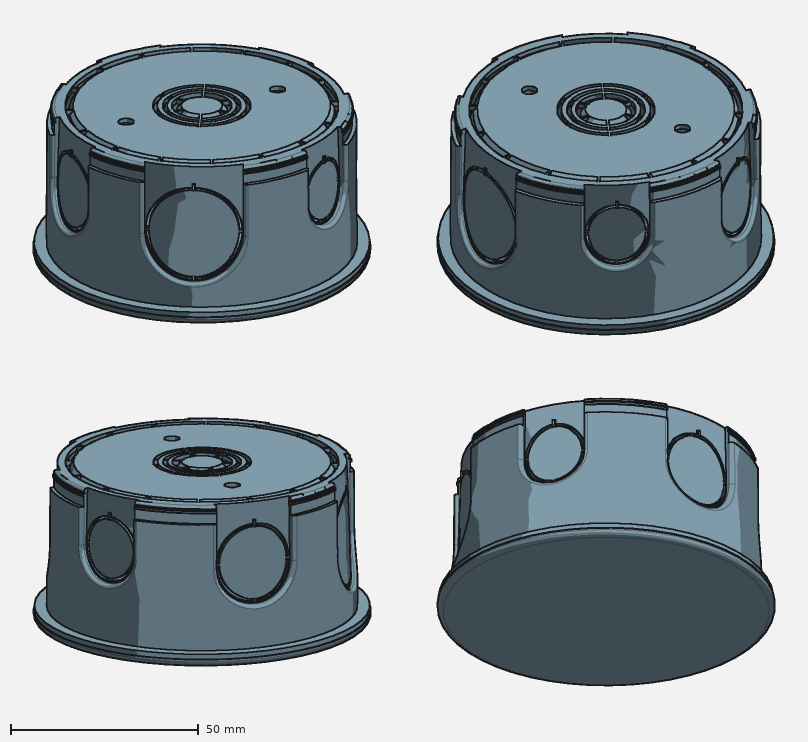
import cadquery as cq
import math

total_height = 43.5
lid_thickness = 2.1
flange_top = 3.5
wall_top = 38.5

lid_radius = 45.0
lid_edge_round = 1.5
flange_radius = 44.7
wall_bottom_radius = 41.5
wall_top_radius = 41.3
rim_radius = 40.1
rim_groove_radius = 39.8
rim_bead_radius = 40.4
rim_edge_round = 0.8
panel_top_radius = 38.6
panel_bottom_radius = 40.05

bead_bottom = 41.4
bead_top = 42.0
groove_top = 42.5

panel_thickness = 1.2
roof_thickness = 1.35

windows = [
    (13.3, (150, 330)),
    (10.8, (90, 270)),
    (8.9, (30, 210)),
]
knockout_top = 37.4
knockout_narrowing = 0.45
knockout_gap = 0.8
recess_inset = 0.2
recess_drop = 0.5
recess_edge_round = 1.0
recess_floor = 36.0
cut_length = 9.0
bridge_width = 0.7
rib_height = 0.6

outer_slot = (34.3, 36.45)
outer_slot_draft = 1.1
outer_slot_bridges = 16
center_slots = [(5.5, 8.0), (9.3, 10.4), (11.9, 13.05)]
center_disc_draft = 1.3
center_slot_bridges = 6
screw_hole_radius = 2.1
screw_hole_offset = 22.6


def disc(radius, bottom, height):
    return cq.Workplane("XY").workplane(offset=bottom).circle(radius).extrude(height)


def cone(bottom_radius, top_radius, bottom, top):
    profile = [(0, bottom), (bottom_radius, bottom), (top_radius, top), (0, top)]
    return cq.Workplane("XZ").polyline(profile).close().revolve(360, (0, 0), (0, 1))


def window_plane(angle, height):
    """Plane across a window, facing outward: local x runs around the wall, local y is up."""
    turn = math.radians(angle)
    outward = (math.cos(turn), math.sin(turn), 0)
    across = (-math.sin(turn), math.cos(turn), 0)
    origin = (recess_floor * outward[0], recess_floor * outward[1], height)
    return cq.Workplane(cq.Plane(origin=origin, xDir=across, normal=outward))


def recess_cutter(radius, angle):
    """U-shaped prism, open at the top, that exposes one window panel."""
    half_width = radius - recess_inset
    arc_height = knockout_top - radius - recess_drop
    rise = total_height + 0.9 - arc_height
    return (
        window_plane(angle, arc_height)
        .moveTo(-half_width, rise)
        .lineTo(-half_width, 0)
        .threePointArc((0, -half_width), (half_width, 0))
        .lineTo(half_width, rise)
        .close()
        .extrude(cut_length)
    )


def knockout_cutter(radius, angle):
    """Thin oval ring through a panel, interrupted by four bridges."""
    half_width = radius - knockout_narrowing
    plane = window_plane(angle, knockout_top - radius).workplane(offset=-cut_length / 2)
    ring = (
        plane.ellipse(half_width, radius)
        .ellipse(half_width - knockout_gap, radius - knockout_gap)
        .extrude(1.5 * cut_length)
    )
    upright = plane.rect(bridge_width, 3 * radius).extrude(1.5 * cut_length)
    level = plane.rect(3 * radius, bridge_width).extrude(1.5 * cut_length)
    return ring.cut(upright).cut(level)


def knockout_rib(angle):
    """Small raised block over the top bridge of a knockout."""
    bottom = knockout_top - knockout_gap
    outer_face = panel_top_radius + rib_height
    inner_face = panel_top_radius - panel_thickness / 2
    return (
        window_plane(angle, (bottom + wall_top) / 2)
        .workplane(offset=inner_face - recess_floor)
        .rect(bridge_width, wall_top - bottom)
        .extrude(outer_face - inner_face)
    )


def slotted_ring(inner_radius, outer_radius, draft, bridges, first_angle):
    """Ring cut through the roof whose inner wall widens downward, left whole at the bridges."""
    bottom = total_height - roof_thickness
    ring = disc(outer_radius, bottom, roof_thickness)
    ring = ring.cut(cone(inner_radius + draft, inner_radius, bottom, total_height))
    for index in range(bridges):
        bridge = (
            cq.Workplane("XY")
            .workplane(offset=bottom)
            .center(outer_radius / 2, 0)
            .rect(outer_radius + 0.9, bridge_width)
            .extrude(roof_thickness)
            .rotate((0, 0, 0), (0, 0, 1), first_angle + index * 360 / bridges)
        )
        ring = ring.cut(bridge)
    return ring


def make_outer_wall():
    """Tapered wall with the window recesses, their outer edges rounded."""
    wall = cone(wall_bottom_radius, wall_top_radius, lid_thickness, wall_top)
    for radius, angles in windows:
        for angle in angles:
            wall = wall.cut(recess_cutter(radius, angle))

    def on_outer_edge(edge):
        middle = edge.positionAt(0.5)
        away_from_ends = lid_thickness + 0.9 < middle.z < wall_top - 0.1
        return away_from_ends and math.hypot(middle.x, middle.y) > rim_radius

    recess_edges = [edge for edge in wall.edges().vals() if on_outer_edge(edge)]
    return wall.newObject(recess_edges).fillet(recess_edge_round)


def make_rim():
    """Narrower rim above the wall, with a bead and a groove, open at the windows."""
    rim = (
        cq.Workplane("XZ")
        .moveTo(0, wall_top)
        .lineTo(rim_radius, wall_top)
        .lineTo(rim_radius, bead_bottom)
        .lineTo(rim_bead_radius, bead_bottom)
        .lineTo(rim_bead_radius, bead_top)
        .lineTo(rim_groove_radius, bead_top)
        .lineTo(rim_groove_radius, groove_top)
        .lineTo(rim_radius, groove_top)
        .lineTo(rim_radius, total_height - rim_edge_round)
        .radiusArc((rim_radius - rim_edge_round, total_height), -rim_edge_round)
        .lineTo(0, total_height)
        .close()
        .revolve(360, (0, 0), (0, 1))
    )
    for radius, angles in windows:
        for angle in angles:
            rim = rim.cut(recess_cutter(radius, angle))
    return rim


def make_housing():
    housing = make_outer_wall().union(make_rim())
    housing = housing.union(cone(panel_bottom_radius, panel_top_radius, lid_thickness, total_height))
    housing = housing.union(disc(flange_radius, lid_thickness, flange_top - lid_thickness))
    housing = housing.cut(
        cone(
            panel_bottom_radius - panel_thickness,
            panel_top_radius - panel_thickness,
            lid_thickness,
            total_height - roof_thickness,
        )
    )
    for radius, angles in windows:
        for angle in angles:
            housing = housing.cut(knockout_cutter(radius, angle))
            housing = housing.union(knockout_rib(angle))

    housing = housing.cut(slotted_ring(*outer_slot, outer_slot_draft, outer_slot_bridges, 0))
    for index, slot in enumerate(center_slots):
        draft = center_disc_draft if index == 0 else 0
        housing = housing.cut(slotted_ring(*slot, draft, center_slot_bridges, 30))

    for side in (-1, 1):
        hole = disc(screw_hole_radius, total_height - roof_thickness, roof_thickness)
        housing = housing.cut(hole.translate((0, side * screw_hole_offset, 0)))
    return housing


def make_lid():
    """Flat cover that closes the open underside of the housing."""
    return disc(lid_radius, 0, lid_thickness).faces("<Z").edges().fillet(lid_edge_round)


housing = make_housing()
lid = make_lid()
result = cq.Compound.makeCompound([housing.val(), lid.val()])